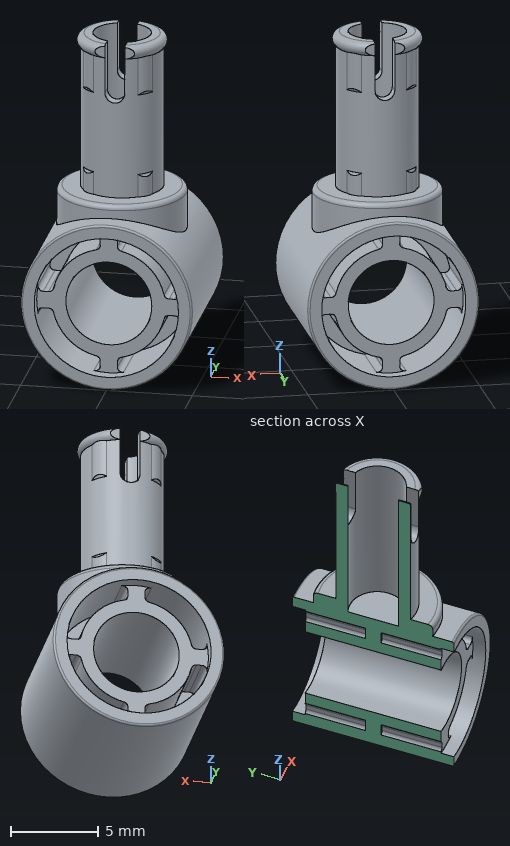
import cadquery as cq
import math

hub_diameter = 10.0
hub_length = 10.0
hub_bore_diameter = 5.0
hub_edge_radius = 0.12
hub_radius = hub_diameter / 2
hub_center_z = hub_radius

shell_inner_diameter = 8.4
sleeve_outer_diameter = 6.6
recess_depth = 0.8
rib_thickness = 1.0
web_thickness = rib_thickness
pocket_corner_radius = 0.3

collar_diameter = 7.5
collar_top_z = 10.81
collar_edge_radius = 0.3

pin_diameter = 4.8
pin_bore_diameter = 3.35
pin_top_z = 20.02
pin_radius = pin_diameter / 2
pin_bore_floor_z = hub_diameter
lip_diameter = 5.2
lip_round_radius = 0.42
lip_center_radius = lip_diameter / 2 - lip_round_radius
lip_center_z = pin_top_z - lip_round_radius

slot_width = 1.15
slot_depth = 3.46
lip_flat_y = math.sqrt(pin_radius**2 - (slot_width / 2) ** 2)

lug_width = 1.0
lug_height = 0.08
lug_bevel_length = 0.18
upper_lug_bottom_z = 17.0
lower_lug_top_z = 12.17
lug_angles = (45, 135, 225, 315)


def cylinder_along_y(diameter, length):
    """Cylinder on the hub axis, centred on Y = 0."""
    profile = cq.Workplane("XZ", origin=(0, length / 2, hub_center_z)).circle(diameter / 2)
    return profile.extrude(length)


def make_hub_blank():
    """Outer hub cylinder with rounded end edges."""
    return cylinder_along_y(hub_diameter, hub_length).edges("%CIRCLE").fillet(hub_edge_radius)


def make_collar():
    """Collar rising from the hub axis, rounded at its top edge."""
    collar = cq.Workplane("XY", origin=(0, 0, hub_center_z)).circle(collar_diameter / 2)
    collar = collar.extrude(collar_top_z - hub_center_z)
    return collar.faces(">Z").edges().fillet(collar_edge_radius)


def make_pin_blank():
    """Solid pin whose lip is a circular bead around the tip."""
    lip_overhang = pin_radius - lip_center_radius
    lip_base_z = lip_center_z - math.sqrt(lip_round_radius**2 - lip_overhang**2)
    profile = (
        cq.Workplane("XZ")
        .moveTo(0, hub_diameter)
        .lineTo(pin_radius, hub_diameter)
        .lineTo(pin_radius, lip_base_z)
        .threePointArc(
            (lip_diameter / 2, lip_center_z),
            (lip_center_radius, pin_top_z),
        )
        .lineTo(0, pin_top_z)
        .close()
    )
    return profile.revolve(360, (0, 0, 0), (0, 1, 0))


def make_lugs(root_z, bevel_end_z):
    """Ring of convex lugs from root_z to bevel_end_z, bevelled into the pin at that end."""
    half_width = lug_width / 2
    crest_radius = pin_radius + lug_height
    crest_rise = crest_radius - math.sqrt(pin_radius**2 - half_width**2)
    lug_round_radius = (half_width**2 + crest_rise**2) / (2 * crest_rise)
    bevel_start_z = bevel_end_z + math.copysign(lug_bevel_length, root_z - bevel_end_z)

    envelope = (
        cq.Workplane("XZ")
        .moveTo(0, root_z)
        .lineTo(crest_radius, root_z)
        .lineTo(crest_radius, bevel_start_z)
        .lineTo(pin_radius, bevel_end_z)
        .lineTo(0, bevel_end_z)
        .close()
        .revolve(360, (0, 0, 0), (0, 1, 0))
    )
    bar = cq.Workplane("XY", origin=(crest_radius - lug_round_radius, 0, min(root_z, bevel_end_z)))
    bar = bar.circle(lug_round_radius).extrude(abs(bevel_end_z - root_z))
    bars = cq.Workplane("XY")
    for angle in lug_angles:
        bars = bars.union(bar.rotate((0, 0, 0), (0, 0, 1), angle))
    return bars.intersect(envelope)


def make_end_pockets():
    """Four rib-separated pockets with rounded corners on each side of the middle web."""
    pocket_length = hub_length - 2 * recess_depth
    ring = cylinder_along_y(shell_inner_diameter, pocket_length)
    ring = ring.cut(cylinder_along_y(sleeve_outer_diameter, pocket_length))
    upright_ribs = cq.Workplane("XY").box(rib_thickness, pocket_length, hub_diameter)
    level_ribs = cq.Workplane("XY").box(hub_diameter, pocket_length, rib_thickness)
    ribs = upright_ribs.union(level_ribs).translate((0, 0, hub_center_z))
    pockets = ring.cut(ribs).edges("|Y").fillet(pocket_corner_radius)
    return pockets.cut(cylinder_along_y(hub_diameter, web_thickness))


def make_end_recesses():
    """Shallow round recess in each hub end."""
    recesses = cylinder_along_y(shell_inner_diameter, hub_length)
    return recesses.cut(cylinder_along_y(hub_diameter, hub_length - 2 * recess_depth))


def make_pin_slot():
    """Round-bottomed slot through the pin along Y, open at the tip."""
    slot_round_z = pin_top_z - slot_depth + slot_width / 2
    slot = (
        cq.Workplane("XZ")
        .moveTo(-slot_width / 2, pin_top_z)
        .lineTo(-slot_width / 2, slot_round_z)
        .threePointArc((0, pin_top_z - slot_depth), (slot_width / 2, slot_round_z))
        .lineTo(slot_width / 2, pin_top_z)
        .close()
    )
    return slot.extrude(lip_diameter, both=True)


def make_lip_flats():
    """Material outside the two flats of the lip, flush with the slot mouth."""
    lip_height = 2 * lip_round_radius
    block = cq.Workplane("XY").box(2 * lip_diameter, 2 * lip_diameter, lip_height)
    core = cq.Workplane("XY").box(2 * lip_diameter, 2 * lip_flat_y, lip_height)
    return block.cut(core).translate((0, 0, lip_center_z))


def make_pin_bore():
    """Blind bore from the pin tip down to the hub shell."""
    bore = cq.Workplane("XY", origin=(0, 0, pin_bore_floor_z)).circle(pin_bore_diameter / 2)
    return bore.extrude(pin_top_z - pin_bore_floor_z)


pin = (
    make_pin_blank()
    .union(make_lugs(lip_center_z, upper_lug_bottom_z))
    .union(make_lugs(hub_diameter, lower_lug_top_z))
    .cut(make_lip_flats())
)

result = (
    make_hub_blank()
    .union(make_collar())
    .union(pin)
    .cut(cylinder_along_y(hub_bore_diameter, hub_length))
    .cut(make_end_recesses())
    .cut(make_end_pockets())
    .cut(make_pin_bore())
    .cut(make_pin_slot())
)